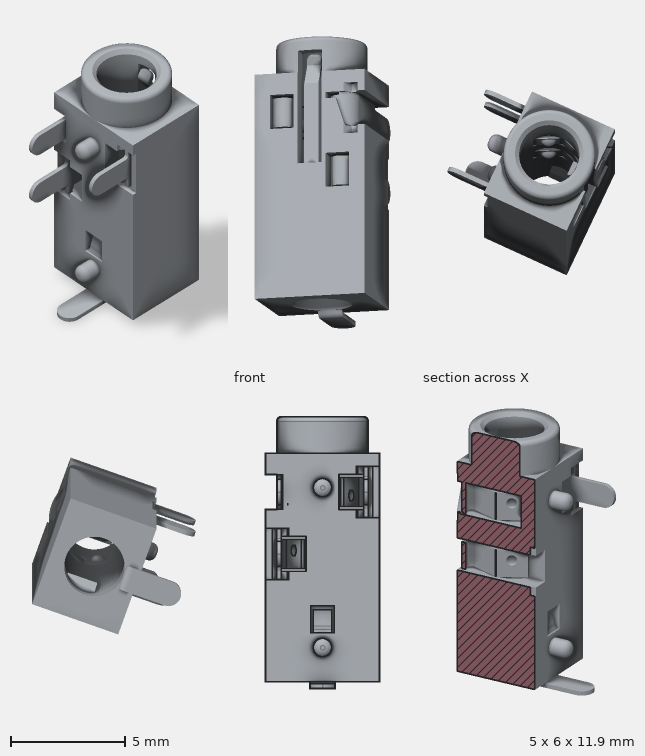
import cadquery as cq
import math

TOTAL_HEIGHT = 11.9
WIDTH = 5.0
DEPTH = 4.0
COLLAR_HEIGHT = 1.6
TAIL_DROP = 0.3
BODY_HEIGHT = TOTAL_HEIGHT - COLLAR_HEIGHT - TAIL_DROP
TOP = BODY_HEIGHT + COLLAR_HEIGHT
FRONT = -DEPTH / 2
BACK = DEPTH / 2
COLLAR_RADIUS = DEPTH / 2
COLLAR_FILLET = 0.2
BORE_RADIUS = 1.32
LEAD_IN = 0.18

SHEET = 0.2
PIN_WIDTH = 1.1
PIN_TIP = FRONT - 2.0

UPPER_LEVEL = 8.31
LOWER_LEVEL = 5.59
CHANNEL_HEIGHT = 1.51
CHANNEL_INNER = 0.73
PLATE_OUTER = 2.0
PLATE_INNER = PLATE_OUTER - SHEET
PLATE_HEIGHT = 2.21
ARM_HEIGHT = 1.3
BEND_RADIUS = 0.71
BEND_START = 1.1
BEND_CORNER = 0.32
FOLD_RADIUS = 0.31
ARM_KNEE = (1.48, 0.0)
ARM_TIP = (0.85, -1.21)
DIMPLE_CENTER = (1.18, -0.58)
DIMPLE_RADIUS = 0.35
DIMPLE_HOLLOW = 0.24
DIMPLE_SHIFT = 0.15
PIN_ROOT_FILLET = 0.14

RECESS_INNER = 1.49
RECESS_HEIGHT = 2.26
RECESS_DEPTH = 0.19
FLARE_INNER = 1.55
FLARE_OUTER = 2.2
FLARE_DEPTH = 0.36
SIDE_NOTCH_INNER = 1.75
FRONT_WALL = 0.71
BACK_WALL_EDGE = 1.6
BACK_WALL_TOP_EDGE = 1.18
BACK_WALL_TOP = 8.8
UPPER_LEFT_PLATE_FRONT = FRONT + 0.55
RECESSED_PLATE_FRONT = FRONT + RECESS_DEPTH

PEG_RADIUS = 0.4
PEG_LENGTH = 0.9
PEG_FILLET = 0.31
PEG_LEVELS = (1.5, 8.5)

TAIL_BACK = -1.32
TAIL_TOP = 3.81
WINDOW_WIDTH = 1.05
WINDOW_BOTTOM = 2.14
WINDOW_TOP = 3.33
BARB_WIDTH = 0.81
BARB_TOP = 3.14
BARB_EDGE_TOP = 2.45
BARB_EDGE_BOTTOM = 2.3
BARB_REACH = 0.26
BARB_LIP = 0.04
BARB_TOE = 0.38

SLOT_WIDTH = 1.1
SLOT_BOTTOM = 5.95
SLOT_TOP = TOP - 0.62
SPRING_WIDTH = 0.64
SPRING_CREST = (0.94, 10.47)
SPRING_NOSE = (1.24, 10.92)
SPRING_TIP = (1.4, 10.8)
SPRING_PROFILE = (
    (1.73, SLOT_BOTTOM - 0.24),
    (1.52, SLOT_BOTTOM - 0.24),
    (1.52, 9.52),
    SPRING_CREST,
    SPRING_NOSE,
    SPRING_TIP,
    (1.24, 10.45),
    (1.73, 9.55),
)
SPRING_CREST_FILLET = 0.3
SPRING_NOSE_FILLET = 0.21
LEAF_BACK = 0.92
LEAF_FRONT = -0.45
LEAF_PROFILE = ((1.43, 2.62), (1.04, 1.9), (0.89, 1.43), (1.43, 0.71))


def box(x_range, y_range, z_range):
    """Axis-aligned box between pairs of limits."""
    spans = [abs(b - a) for a, b in (x_range, y_range, z_range)]
    corner = [min(r) for r in (x_range, y_range, z_range)]
    return cq.Workplane("XY").box(*spans, centered=False).translate(tuple(corner))


def band(level, height):
    """Z limits of a band centred on a level."""
    return (level - height / 2, level + height / 2)


def on_side(shape, side):
    """Keep a +X shape on its side, or mirror it to -X."""
    return shape if side > 0 else shape.mirror("YZ")


def make_housing():
    body = box((-WIDTH / 2, WIDTH / 2), (FRONT, BACK), (0, BODY_HEIGHT))
    collar = cq.Workplane("XY").circle(COLLAR_RADIUS).extrude(TOP).faces(">Z").edges().fillet(COLLAR_FILLET)
    bore = cq.Workplane("XY").circle(BORE_RADIUS).extrude(TOP)
    mouth = (
        cq.Workplane("XY", origin=(0, 0, TOP - LEAD_IN))
        .circle(BORE_RADIUS)
        .workplane(offset=LEAD_IN)
        .circle(BORE_RADIUS + LEAD_IN)
        .loft()
    )
    slot = box((-SLOT_WIDTH / 2, SLOT_WIDTH / 2), (0, BACK), (SLOT_BOTTOM, SLOT_TOP))
    return body.union(collar).cut(bore).cut(mouth).cut(slot)


def flared_slot(level, end, inward):
    """Lead-in for a plate, from the given Y position and narrowing in the inward direction."""
    inner_end = end + inward * FLARE_DEPTH
    return (
        cq.Workplane("XY", origin=(0, 0, level - RECESS_HEIGHT / 2))
        .polyline([(FLARE_INNER, end), (FLARE_OUTER, end), (PLATE_OUTER, inner_end), (PLATE_INNER, inner_end)])
        .close()
        .extrude(RECESS_HEIGHT)
    )


def recessed_pocket(level):
    """Channel through the full depth with a shallow recess and a flared slot in the front face."""
    floor = FRONT + RECESS_DEPTH
    channel = box((CHANNEL_INNER, PLATE_INNER), (FRONT, BACK), band(level, CHANNEL_HEIGHT))
    recess = box((RECESS_INNER, WIDTH / 2), (FRONT, floor), band(level, RECESS_HEIGHT))
    return channel.union(recess).union(flared_slot(level, floor, 1))


def side_pocket(level):
    """Notch open to the side face, with a channel between a front wall and a low sloping back wall."""
    height = band(level, CHANNEL_HEIGHT)
    notch = box((SIDE_NOTCH_INNER, WIDTH / 2), (FRONT, BACK), height)
    channel = box((CHANNEL_INNER, PLATE_INNER), (FRONT + FRONT_WALL, BACK), height)
    back_wall = (
        cq.Workplane("XZ", origin=(0, BACK, 0))
        .polyline([
            (0, height[0]),
            (BACK_WALL_EDGE, height[0]),
            (BACK_WALL_TOP_EDGE, BACK_WALL_TOP),
            (0, BACK_WALL_TOP),
        ])
        .close()
        .extrude(BACK - BEND_START - BEND_RADIUS)
    )
    return notch.union(channel.cut(back_wall)).union(flared_slot(level, BACK, -1))


def rear_bend(level, height, corner):
    """Quarter bend that turns the plate inward at the back, with its lower back corner rounded."""
    center_x = PLATE_OUTER - BEND_RADIUS
    limits = band(level, height)
    ring = (
        cq.Workplane("XY", origin=(center_x, BEND_START, limits[0]))
        .circle(BEND_RADIUS)
        .circle(BEND_RADIUS - SHEET)
        .extrude(height)
    )
    quarter = box((center_x, PLATE_OUTER), (BEND_START, BEND_START + BEND_RADIUS), limits)
    if corner:
        quarter = quarter.edges("|X and >Y and <Z").fillet(corner)
    return ring.intersect(quarter)


def spring_arm(level, dimple_level):
    """Arm folded forward from the bend, out to a knee, then in to the tip, with a dimple."""
    start_x = PLATE_OUTER - BEND_RADIUS
    start_y = BEND_START + BEND_RADIUS - SHEET / 2
    fold_mid = FOLD_RADIUS * math.sqrt(0.5)
    fold_y = start_y - FOLD_RADIUS
    path = (
        cq.Workplane("XY", origin=(0, 0, level))
        .moveTo(start_x, start_y)
        .threePointArc((start_x - fold_mid, fold_y + fold_mid), (start_x - FOLD_RADIUS, fold_y))
        .lineTo(*ARM_KNEE)
        .lineTo(*ARM_TIP)
    )
    arm = (
        cq.Workplane("YZ", origin=(start_x, start_y, level))
        .rect(SHEET, ARM_HEIGHT)
        .sweep(path, transition="round")
    )
    bump = cq.Workplane("XY", origin=(*DIMPLE_CENTER, dimple_level)).sphere(DIMPLE_RADIUS)
    run = math.hypot(ARM_KNEE[0] - ARM_TIP[0], ARM_KNEE[1] - ARM_TIP[1])
    normal = ((ARM_KNEE[1] - ARM_TIP[1]) / run, (ARM_TIP[0] - ARM_KNEE[0]) / run)
    outer_half = (
        cq.Workplane(cq.Plane((*DIMPLE_CENTER, dimple_level), (0, 0, 1), (*normal, 0)))
        .circle(2 * DIMPLE_RADIUS)
        .extrude(2 * DIMPLE_RADIUS)
    )
    hollow = (
        cq.Workplane("XY", origin=(*DIMPLE_CENTER, dimple_level))
        .sphere(DIMPLE_HOLLOW)
        .translate((normal[0] * SHEET / 2, normal[1] * SHEET / 2, 0))
    )
    return arm.union(bump.cut(outer_half)).cut(hollow)


def side_contact(level, plate_front, bend_height, bend_corner, dimple_shift):
    """Plate with solder pin, rear bend and spring arm on the +X side."""
    plate_x = (PLATE_INNER, PLATE_OUTER)
    plate = box(plate_x, (plate_front, BEND_START), band(level, PLATE_HEIGHT))
    pin = box(plate_x, (PIN_TIP, plate_front), band(level, PIN_WIDTH))
    pin = pin.faces("<Y").edges("|X").fillet(PIN_WIDTH / 2 - 0.001)
    blade = plate.union(pin)
    root = cq.selectors.BoxSelector(
        (PLATE_INNER - SHEET, plate_front - 0.01, level - PIN_WIDTH),
        (PLATE_OUTER + SHEET, plate_front + 0.01, level + PIN_WIDTH * 0.6),
    )
    blade = blade.edges("|X").edges(root).fillet(PIN_ROOT_FILLET)
    bend = rear_bend(level, bend_height, bend_corner)
    return blade.union(bend).union(spring_arm(level, level + dimple_shift))


def make_peg(level):
    return (
        cq.Workplane("XZ", origin=(0, FRONT, level))
        .circle(PEG_RADIUS)
        .extrude(PEG_LENGTH)
        .faces("<Y")
        .edges()
        .fillet(PEG_FILLET)
    )


def make_tail():
    """Strip rising in the front wall and bent forward below the housing."""
    half = PIN_WIDTH / 2
    upright = box((-half, half), (TAIL_BACK - SHEET, TAIL_BACK), (-TAIL_DROP, TAIL_TOP))
    foot = box((-half, half), (PIN_TIP, TAIL_BACK), (-TAIL_DROP, -TAIL_DROP + SHEET))
    foot = foot.faces("<Y").edges("|Z").fillet(half - 0.001)
    return upright.union(foot).edges("|X and >Y and <Z").fillet(TAIL_DROP)


def make_barb():
    """Wedge that leans out of the tail strip towards the window."""
    root = TAIL_BACK - SHEET
    return (
        cq.Workplane("YZ", origin=(-BARB_WIDTH / 2, 0, 0))
        .polyline([
            (root, BARB_TOP),
            (root - BARB_REACH, BARB_EDGE_TOP),
            (root - BARB_REACH - BARB_LIP, BARB_EDGE_BOTTOM),
            (root - BARB_TOE, WINDOW_BOTTOM),
            (root, WINDOW_BOTTOM),
        ])
        .close()
        .extrude(BARB_WIDTH)
    )


def make_back_spring():
    """Leaning strip in the back slot with its nose turned away from the bore."""
    strip = (
        cq.Workplane("YZ", origin=(-SPRING_WIDTH / 2, 0, 0))
        .polyline(SPRING_PROFILE)
        .close()
        .extrude(SPRING_WIDTH)
    )
    crest = cq.selectors.NearestToPointSelector((0, *SPRING_CREST))
    strip = strip.edges("|X").edges(crest).fillet(SPRING_CREST_FILLET)
    corners = cq.selectors.BoxSelector(
        (-SPRING_WIDTH, SPRING_NOSE[0], SPRING_TIP[1]),
        (SPRING_WIDTH, SPRING_TIP[0], SPRING_NOSE[1]),
    )
    return strip.edges("not |X").edges(corners).fillet(SPRING_NOSE_FILLET)


def make_leaf():
    """Guide leaf that narrows the lower bore on the +X side."""
    return (
        cq.Workplane("XZ", origin=(0, LEAF_BACK, 0))
        .polyline(LEAF_PROFILE)
        .close()
        .extrude(LEAF_BACK - LEAF_FRONT)
    )


SIDE_CONTACTS = (
    (1, UPPER_LEVEL, recessed_pocket, RECESSED_PLATE_FRONT, ARM_HEIGHT, 0, -DIMPLE_SHIFT),
    (-1, UPPER_LEVEL, side_pocket, UPPER_LEFT_PLATE_FRONT, CHANNEL_HEIGHT, BEND_CORNER, DIMPLE_SHIFT),
    (-1, LOWER_LEVEL, recessed_pocket, RECESSED_PLATE_FRONT, ARM_HEIGHT, 0, DIMPLE_SHIFT),
)

result = make_housing()
for side, level, pocket, *_ in SIDE_CONTACTS:
    result = result.cut(on_side(pocket(level), side))
window_x = (-WINDOW_WIDTH / 2, WINDOW_WIDTH / 2)
result = result.cut(box(window_x, (FRONT, TAIL_BACK), (WINDOW_BOTTOM, WINDOW_TOP)))

for side, level, _, *contact_shape in SIDE_CONTACTS:
    result = result.union(on_side(side_contact(level, *contact_shape), side))
for side in (-1, 1):
    result = result.union(on_side(make_leaf(), side))
for level in PEG_LEVELS:
    result = result.union(make_peg(level))
result = result.union(make_tail()).union(make_barb()).union(make_back_spring())